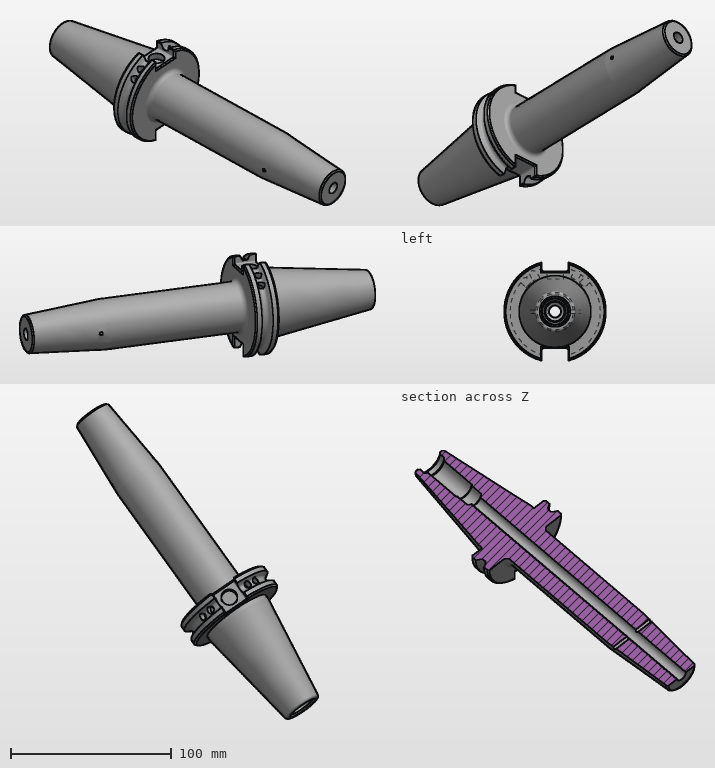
import cadquery as cq
import math

LENGTH = 228.2

TAPER_LENGTH = 68.5
TAPER_RATIO = 7 / 24
COLLAR_RADIUS = 22.4
TAPER_END_RADIUS = COLLAR_RADIUS - TAPER_LENGTH * TAPER_RATIO / 2
SHANK_END_FILLET = 1.5

FLANGE_START = 71.5
FLANGE_WIDTH = 15.7
FLANGE_END = FLANGE_START + FLANGE_WIDTH
FLANGE_RADIUS = 31.7
FLANGE_FRONT_CHAMFER = 1.1
FLANGE_BACK_CHAMFER = 1.0
GROOVE_X = 79.5
GROOVE_FLOOR_RADIUS = 28.0
GROOVE_TOP_WIDTH = 7.3
GROOVE_FLANK_ANGLE = 30.0
GROOVE_CORNER_FILLET = 1.5

BODY_RADIUS = 16.0
BODY_FILLET = 3.0
NOSE_START = 178.0
NOSE_END_RADIUS = 12.0
NOSE_CHAMFER = 1.0

SLOT_WIDTH = 16.2
TOP_SLOT_HEIGHT = 25.0
BOTTOM_SLOT_HEIGHT = 22.8
SLOT_FLOOR_FILLET = 1.0
SLOT_FACE_CHAMFER = 1.0
SLOT_RIM_CHAMFER = 0.5

SLOT_HOLE_DIAMETER = 10.0
SLOT_HOLE_DEPTH = 4.5

BALANCE_HOLE_DIAMETER = 4.5
BALANCE_HOLE_DEPTH = 4.5
BALANCE_HOLE_ANGLES = (-45, -30, 30, 45)

MOUTH_CHAMFER = 1.1
COUNTERBORE_RADIUS = 8.5
COUNTERBORE_DEPTH = 5.2
COUNTERSINK_RADIUS = 8.0
COUNTERSINK_LENGTH = 1.4
THREAD_BORE_RADIUS = 6.6
THREAD_BORE_END = 32.0
PILOT_BORE_RADIUS = 6.0
PILOT_BORE_END = 41.0
THROUGH_RADIUS = 3.7
DRILL_POINT_ANGLE = 118.0

CROSS_HOLE_X = 184.0
CROSS_HOLE_DIAMETER = 2.0


def revolve_about_x(outline):
    return outline.close().revolve(360, (0, 0, 0), (1, 0, 0))


def shank():
    outline = (
        cq.Workplane("XZ")
        .lineTo(0, TAPER_END_RADIUS)
        .lineTo(TAPER_LENGTH, COLLAR_RADIUS)
        .lineTo(FLANGE_START, COLLAR_RADIUS)
        .lineTo(FLANGE_START, 0)
    )
    return revolve_about_x(outline).faces("<X").edges().fillet(SHANK_END_FILLET)


def flange():
    disc = cq.Workplane("YZ", origin=(FLANGE_START, 0, 0)).circle(FLANGE_RADIUS).extrude(FLANGE_WIDTH)
    disc = disc.faces("<X").edges().chamfer(FLANGE_FRONT_CHAMFER)
    disc = disc.faces(">X").edges().chamfer(FLANGE_BACK_CHAMFER)
    return disc.cut(groove())


def groove():
    """Ring cutter with sloping flanks and rounded floor corners."""
    depth = FLANGE_RADIUS - GROOVE_FLOOR_RADIUS
    half_top = GROOVE_TOP_WIDTH / 2
    half_floor = half_top - depth * math.tan(math.radians(GROOVE_FLANK_ANGLE))
    outline = (
        cq.Workplane("XZ", origin=(GROOVE_X, 0, 0))
        .moveTo(-half_top, FLANGE_RADIUS)
        .lineTo(-half_floor, GROOVE_FLOOR_RADIUS)
        .lineTo(half_floor, GROOVE_FLOOR_RADIUS)
        .lineTo(half_top, FLANGE_RADIUS)
    )
    floor_edges = cq.selectors.RadiusNthSelector(0)
    return revolve_about_x(outline).edges(floor_edges).fillet(GROOVE_CORNER_FILLET)


def body():
    """Cylinder with a tapered nose, flared into the flange by a concave fillet."""
    arc_offset = BODY_FILLET * (1 - math.sqrt(0.5))
    outline = (
        cq.Workplane("XZ", origin=(FLANGE_END, 0, 0))
        .lineTo(0, BODY_RADIUS + BODY_FILLET)
        .threePointArc((arc_offset, BODY_RADIUS + arc_offset), (BODY_FILLET, BODY_RADIUS))
        .lineTo(NOSE_START - FLANGE_END, BODY_RADIUS)
        .lineTo(LENGTH - FLANGE_END, NOSE_END_RADIUS)
        .lineTo(LENGTH - FLANGE_END, 0)
    )
    return revolve_about_x(outline).faces(">X").edges().chamfer(NOSE_CHAMFER)


def slot_outline(x, floor_height, offset):
    """Slot section at X = x, widened and deepened by the offset."""
    floor = floor_height - offset
    height = FLANGE_RADIUS + 2.3 - floor
    return (
        cq.Workplane("YZ", origin=(x, 0, floor + height / 2))
        .rect(SLOT_WIDTH + 2 * offset, height)
    )


def slot(floor_height):
    """Upward-facing slot cutter with its edges chamfered at the flange faces and rim."""
    cutter = slot_outline(FLANGE_START, floor_height, 0).extrude(FLANGE_WIDTH)
    cutter = cutter.faces("<Z").edges("|X").fillet(SLOT_FLOOR_FILLET)
    for face_x, inward in ((FLANGE_START, 1), (FLANGE_END, -1)):
        flare = (
            slot_outline(face_x, floor_height, SLOT_FACE_CHAMFER)
            .extrude(inward * SLOT_FACE_CHAMFER, taper=45)
        )
        cutter = cutter.union(flare)
    return cutter.union(slot_rim_flare())


def slot_rim_flare():
    """45-degree wedge that breaks the edges where the slot walls meet the flange rim."""
    half_width = SLOT_WIDTH / 2 + SLOT_RIM_CHAMFER
    rim_height = math.sqrt(FLANGE_RADIUS**2 - half_width**2)
    return (
        cq.Workplane("YZ", origin=(FLANGE_START, 0, rim_height))
        .moveTo(-half_width, 0)
        .lineTo(-SLOT_WIDTH / 2, -SLOT_RIM_CHAMFER)
        .lineTo(SLOT_WIDTH / 2, -SLOT_RIM_CHAMFER)
        .lineTo(half_width, 0)
        .lineTo(half_width, FLANGE_RADIUS - rim_height)
        .lineTo(-half_width, FLANGE_RADIUS - rim_height)
        .close()
        .extrude(FLANGE_WIDTH)
    )


def slot_hole():
    return (
        cq.Workplane("XY", origin=(GROOVE_X, 0, TOP_SLOT_HEIGHT - SLOT_HOLE_DEPTH))
        .circle(SLOT_HOLE_DIAMETER / 2)
        .extrude(FLANGE_RADIUS)
    )


def balance_hole(angle):
    return (
        cq.Workplane("XY", origin=(GROOVE_X, 0, GROOVE_FLOOR_RADIUS - BALANCE_HOLE_DEPTH))
        .circle(BALANCE_HOLE_DIAMETER / 2)
        .extrude(FLANGE_RADIUS - GROOVE_FLOOR_RADIUS + BALANCE_HOLE_DEPTH)
        .rotate((0, 0, 0), (1, 0, 0), angle)
    )


def axial_bore():
    """Chamfered counterbore, countersunk thread bore, pilot bore with a drill point, and through hole."""
    point_length = (PILOT_BORE_RADIUS - THROUGH_RADIUS) / math.tan(math.radians(DRILL_POINT_ANGLE / 2))
    outline = (
        cq.Workplane("XZ")
        .lineTo(0, COUNTERBORE_RADIUS + MOUTH_CHAMFER)
        .lineTo(MOUTH_CHAMFER, COUNTERBORE_RADIUS)
        .lineTo(COUNTERBORE_DEPTH, COUNTERBORE_RADIUS)
        .lineTo(COUNTERBORE_DEPTH, COUNTERSINK_RADIUS)
        .lineTo(COUNTERBORE_DEPTH + COUNTERSINK_LENGTH, THREAD_BORE_RADIUS)
        .lineTo(THREAD_BORE_END, THREAD_BORE_RADIUS)
        .lineTo(THREAD_BORE_END, PILOT_BORE_RADIUS)
        .lineTo(PILOT_BORE_END, PILOT_BORE_RADIUS)
        .lineTo(PILOT_BORE_END + point_length, THROUGH_RADIUS)
        .lineTo(LENGTH, THROUGH_RADIUS)
        .lineTo(LENGTH, 0)
    )
    return revolve_about_x(outline)


def cross_hole():
    return (
        cq.Workplane("XZ", origin=(CROSS_HOLE_X, 0, 0))
        .circle(CROSS_HOLE_DIAMETER / 2)
        .extrude(BODY_RADIUS, both=True)
    )


bottom_slot = slot(BOTTOM_SLOT_HEIGHT).rotate((0, 0, 0), (1, 0, 0), 180)
slotted_flange = flange().cut(slot(TOP_SLOT_HEIGHT)).cut(bottom_slot).cut(slot_hole())
for hole_angle in BALANCE_HOLE_ANGLES:
    slotted_flange = slotted_flange.cut(balance_hole(hole_angle))

result = shank().union(slotted_flange).union(body()).cut(axial_bore()).cut(cross_hole())